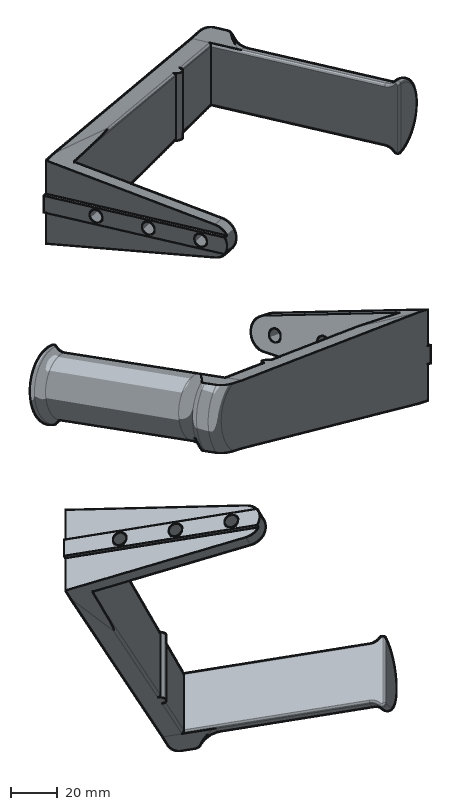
import cadquery as cq
import math

TOTAL_LENGTH = 160.0
HANDLE_LENGTH = 100.0
BASE_HALF_HEIGHT = 20.0
WALL_THICKNESS = 10.0

RAIL_HEIGHT = 2.0
RAIL_WIDTH = 8.0
ARM_INNER_Y = 9.0
ARM_LENGTH = 87.5
ARM_TIP_RADIUS = 8.0
HOLE_DIAMETER = 6.0
HOLE_COUNT = 3
HOLE_PITCH = 25.0

HANDLE_AXIS_Y = 139.0
BAR_RADIUS = 14.9
HUMP_RADIUS = TOTAL_LENGTH - HANDLE_AXIS_Y
HUMP_TOP_END_X = 10.0
HUMP_EDGE_RADIUS = 4.0
HUMP_BLEND_RADIUS = 14.0
FLANGE_RADIUS = 17.6
FLANGE_EDGE_RADIUS = 1.6
FLANGE_TOP_X = HANDLE_LENGTH - FLANGE_EDGE_RADIUS
FLANGE_BLEND_RADIUS = 5.5
INNER_EDGE_FILLET = 1.1

RIB_RADIUS = 3.0
RIB_PROTRUSION = 1.6
RIB_Y = 108.6


def blend(convex_radius, concave_radius, drop):
    """Return the run of an S-shaped step and its turning angle."""
    radius_sum = convex_radius + concave_radius
    angle = math.acos(1 - drop / radius_sum)
    return radius_sum * math.sin(angle), angle


def arc_offset(radius, angle):
    """Run and drop along an arc that starts parallel to X."""
    return radius * math.sin(angle), radius * (1 - math.cos(angle))


def step_points(top_x, top_r, convex_radius, concave_radius, drop, direction):
    """Points of an S-step: middle of convex arc, joint, middle of concave arc, foot."""
    run, angle = blend(convex_radius, concave_radius, drop)
    foot_x = top_x + direction * run
    foot_r = top_r - drop
    points = []
    for part in (0.5, 1.0):
        dx, dr = arc_offset(convex_radius, part * angle)
        points.append((top_x + direction * dx, top_r - dr))
    dx, dr = arc_offset(concave_radius, 0.5 * angle)
    points.append((foot_x - direction * dx, foot_r + dr))
    points.append((foot_x, foot_r))
    return points


def revolve_half(profile):
    """Revolve an XY profile into a half-round solid with its flat face toward -Y."""
    return (
        profile.revolve(180, (0, 0, 0), (1, 0, 0))
        .rotate((0, 0, 0), (1, 0, 0), -90)
        .translate((0, HANDLE_AXIS_Y, 0))
    )


def make_bar():
    """Half-round bar with a flared end and rounded edges along its flat face."""
    flange = step_points(FLANGE_TOP_X, FLANGE_RADIUS, FLANGE_EDGE_RADIUS,
                         FLANGE_BLEND_RADIUS, FLANGE_RADIUS - BAR_RADIUS, -1)
    profile = (
        cq.Workplane("XY")
        .lineTo(0, BAR_RADIUS)
        .lineTo(*flange[3])
        .threePointArc(flange[2], flange[1])
        .threePointArc((FLANGE_TOP_X, FLANGE_RADIUS),
                       (HANDLE_LENGTH, FLANGE_RADIUS - FLANGE_EDGE_RADIUS))
        .lineTo(HANDLE_LENGTH, 0)
        .close()
    )
    return revolve_half(profile).faces("<Y").edges("not(<X or >X)").fillet(INNER_EDGE_FILLET)


def make_hump():
    """Raised shoulder where the bar meets the wall, with flat sides flush with the bar."""
    step = step_points(HUMP_TOP_END_X, HUMP_RADIUS, HUMP_EDGE_RADIUS,
                       HUMP_BLEND_RADIUS, HUMP_RADIUS - BAR_RADIUS, 1)
    corner_run, corner_drop = arc_offset(HUMP_EDGE_RADIUS, math.pi / 4)
    profile = (
        cq.Workplane("XY")
        .lineTo(0, HUMP_RADIUS - HUMP_EDGE_RADIUS)
        .threePointArc((HUMP_EDGE_RADIUS - corner_run, HUMP_RADIUS - corner_drop),
                       (HUMP_EDGE_RADIUS, HUMP_RADIUS))
        .lineTo(HUMP_TOP_END_X, HUMP_RADIUS)
        .threePointArc(step[0], step[1])
        .threePointArc(step[2], step[3])
        .lineTo(step[3][0], 0)
        .close()
    )
    limit = (
        cq.Workplane("XY", origin=(0, HANDLE_AXIS_Y + INNER_EDGE_FILLET, 0))
        .box(HANDLE_LENGTH, HUMP_RADIUS, 2 * BAR_RADIUS, centered=(False, False, True))
    )
    return revolve_half(profile).intersect(limit)


def make_wall():
    """Wall tapering toward the handle, with rounded inner edges and a cross rib."""
    far_y = HANDLE_AXIS_Y + INNER_EDGE_FILLET
    outline = [
        (RAIL_HEIGHT, -BASE_HALF_HEIGHT),
        (ARM_INNER_Y, -BASE_HALF_HEIGHT),
        (far_y, -BAR_RADIUS),
        (far_y, BAR_RADIUS),
        (ARM_INNER_Y, BASE_HALF_HEIGHT),
        (RAIL_HEIGHT, BASE_HALF_HEIGHT),
    ]
    wall = cq.Workplane("YZ").polyline(outline).close().extrude(WALL_THICKNESS)
    wall = wall.faces(">X").edges("not |Z").fillet(INNER_EDGE_FILLET)
    rib = (
        cq.Workplane("XY", origin=(0, 0, -BASE_HALF_HEIGHT))
        .center(WALL_THICKNESS + RIB_PROTRUSION - RIB_RADIUS, RIB_Y)
        .circle(RIB_RADIUS)
        .extrude(2 * BASE_HALF_HEIGHT)
    )
    rib_limit = cq.Workplane("YZ").polyline(outline).close().extrude(WALL_THICKNESS + RIB_PROTRUSION)
    return wall.union(rib.intersect(rib_limit))


def arm_prism(start_y, end_y):
    """Tapered arm outline with a tangent round tip, extruded from start_y to end_y."""
    center_x = ARM_LENGTH - ARM_TIP_RADIUS
    reach = math.hypot(center_x, BASE_HALF_HEIGHT)
    angle = math.atan2(BASE_HALF_HEIGHT, -center_x) - math.acos(ARM_TIP_RADIUS / reach)
    tangent_x = center_x + ARM_TIP_RADIUS * math.cos(angle)
    tangent_z = ARM_TIP_RADIUS * math.sin(angle)
    return (
        cq.Workplane("XZ", origin=(0, start_y, 0))
        .moveTo(0, -BASE_HALF_HEIGHT)
        .lineTo(tangent_x, -tangent_z)
        .threePointArc((ARM_LENGTH, 0), (tangent_x, tangent_z))
        .lineTo(0, BASE_HALF_HEIGHT)
        .close()
        .extrude(start_y - end_y)
    )


def make_arm():
    arm = arm_prism(RAIL_HEIGHT, ARM_INNER_Y)
    rail_limit = cq.Workplane("XY").box(ARM_LENGTH, ARM_INNER_Y, RAIL_WIDTH, centered=(False, False, True))
    arm = arm.union(arm_prism(0, ARM_INNER_Y).intersect(rail_limit))
    hole_centers = [(HOLE_PITCH * (i + 1), 0) for i in range(HOLE_COUNT)]
    holes = cq.Workplane("XZ").pushPoints(hole_centers).circle(HOLE_DIAMETER / 2).extrude(-ARM_INNER_Y)
    return arm.cut(holes)


wall = make_wall().intersect(arm_prism(0, TOTAL_LENGTH))
result = make_bar().union(make_hump()).union(wall).union(make_arm())